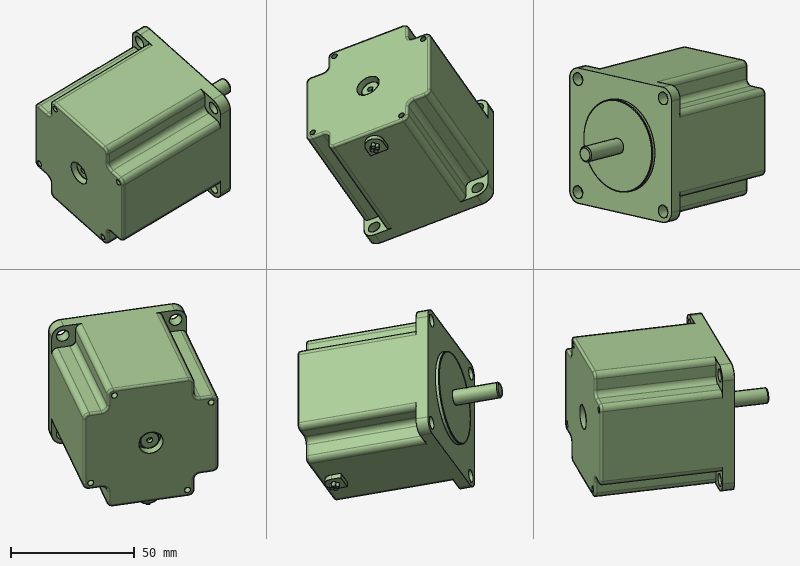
import cadquery as cq
import math


overall_length = 77
frame_size = 56.4
shaft_reach = 21.0
body_length = overall_length - shaft_reach
rear_y = -body_length
half_frame = frame_size / 2

flange_thickness = 5.1
flange_corner_radius = 5.0
mount_hole_diameter = 5.2
mount_hole_spacing = 47.1

notch_size = 10
notch_radius = flange_corner_radius / 2
rear_fillet = 1.0

pilot_diameter = 38.1
pilot_height = 1.6
pilot_chamfer = 0.3
shaft_diameter = 6.4
shaft_chamfer = 0.5

screw_hole_diameter = 2.5
screw_hole_depth = 5.0
screw_near_offset = 15.25
screw_far_offset = 25.2

recess_diameter = 10
recess_depth = 4.0
stub_diameter = 8.0
stub_setback = 2.0
stub_chamfer = 0.25
center_hole_diameter = 2.3
center_hole_depth = 2.0
drill_point_angle = 118

grommet_size = 8.0
grommet_height = 2.0
grommet_setback = 6.0
wire_length = 2.0
wire_radius = 0.85
wire_ring_radius = 1.15
wire_count = 4


def xz_plane(y):
    """Workplane square to the motor axis at the given Y, extruding toward +Y."""
    return cq.Workplane(cq.Plane(origin=(0, y, 0), xDir=(-1, 0, 0), normal=(0, 1, 0)))


def make_flange():
    return (
        xz_plane(-flange_thickness)
        .rect(frame_size, frame_size)
        .extrude(flange_thickness)
        .edges("|Y")
        .fillet(flange_corner_radius)
        .faces(">Y")
        .workplane()
        .rect(mount_hole_spacing, mount_hole_spacing, forConstruction=True)
        .vertices()
        .hole(mount_hole_diameter)
    )


def make_body():
    """Square body with notched corners that clear the mounting screws."""
    notch_length = body_length - flange_thickness
    arm_half_width = half_frame - notch_size
    cross = (
        xz_plane(rear_y)
        .rect(frame_size, 2 * arm_half_width)
        .extrude(notch_length)
        .union(xz_plane(rear_y).rect(2 * arm_half_width, frame_size).extrude(notch_length))
    )
    return cross.edges("|Y").fillet(notch_radius).faces("<Y").edges().fillet(rear_fillet)


def make_output_end():
    pilot = (
        xz_plane(0)
        .circle(pilot_diameter / 2)
        .extrude(pilot_height)
        .faces(">Y")
        .chamfer(pilot_chamfer)
    )
    shaft = (
        xz_plane(0)
        .circle(shaft_diameter / 2)
        .extrude(shaft_reach)
        .faces(">Y")
        .chamfer(shaft_chamfer)
    )
    return pilot.union(shaft)


def drilled_hole(x, z, start_y, diameter, depth):
    """Blind hole running toward +Y from start_y, ending in a conical drill point."""
    radius = diameter / 2
    point_length = radius / math.tan(math.radians(drill_point_angle / 2))
    return (
        cq.Workplane("XY")
        .polyline([(0, 0), (radius, 0), (radius, depth), (0, depth + point_length)])
        .close()
        .revolve(360, (0, 0), (0, 1))
        .translate((x, start_y, z))
    )


def cut_screw_holes(motor):
    positions = [
        (-screw_near_offset, screw_far_offset),
        (screw_far_offset, screw_near_offset),
        (screw_near_offset, -screw_far_offset),
        (-screw_far_offset, -screw_near_offset),
    ]
    for x, z in positions:
        motor = motor.cut(drilled_hole(x, z, rear_y, screw_hole_diameter, screw_hole_depth))
    return motor


def add_rear_stub(motor):
    recess = xz_plane(rear_y).circle(recess_diameter / 2).extrude(recess_depth)
    stub_end_y = rear_y + stub_setback
    stub = (
        xz_plane(stub_end_y)
        .circle(stub_diameter / 2)
        .extrude(recess_depth - stub_setback)
        .faces("<Y")
        .chamfer(stub_chamfer)
    )
    center_hole = drilled_hole(0, 0, stub_end_y, center_hole_diameter, center_hole_depth)
    return motor.cut(recess).union(stub).cut(center_hole)


def make_cable_outlet():
    """Grommet, round toward the rear and square toward the front, with four bundled wires."""
    half_size = grommet_size / 2
    grommet = (
        cq.Workplane("XY")
        .moveTo(-half_size, half_size)
        .lineTo(-half_size, 0)
        .threePointArc((0, -half_size), (half_size, 0))
        .lineTo(half_size, half_size)
        .close()
        .extrude(-grommet_height)
    )
    wires_start = cq.Workplane("XY").workplane(offset=-grommet_height)
    outlet = grommet
    for i in range(wire_count):
        angle = 2 * math.pi * i / wire_count
        center = (wire_ring_radius * math.cos(angle), wire_ring_radius * math.sin(angle))
        outlet = outlet.union(wires_start.center(*center).circle(wire_radius).extrude(-wire_length))
    return outlet.translate((0, rear_y + grommet_setback, -half_frame))


motor = make_flange().union(make_body()).union(make_output_end())
motor = cut_screw_holes(motor)
motor = add_rear_stub(motor)
result = motor.union(make_cable_outlet())